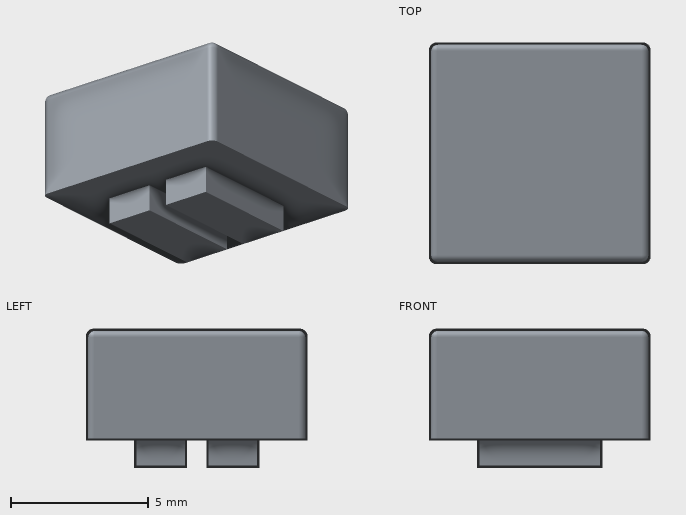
import cadquery as cq

cap_side = 8.0
cap_height = 4.0
edge_radius = 0.27

foot_length = 4.5
foot_height = 1.0
foot_gap = 0.77
foot_width = (foot_length - foot_gap) / 2
foot_offset = (foot_gap + foot_width) / 2


def make_cap():
    """Block with rounded sides and top, and a sharp bottom rim."""
    block = cq.Workplane("XY").box(cap_side, cap_side, cap_height, centered=(True, True, False))
    return block.edges("|Z or >Z").fillet(edge_radius)


def make_feet():
    """Pair of bars hanging below the underside of the cap."""
    return (
        cq.Workplane("XY")
        .pushPoints([(0, -foot_offset), (0, foot_offset)])
        .rect(foot_length, foot_width)
        .extrude(-foot_height)
    )


result = make_cap().union(make_feet())